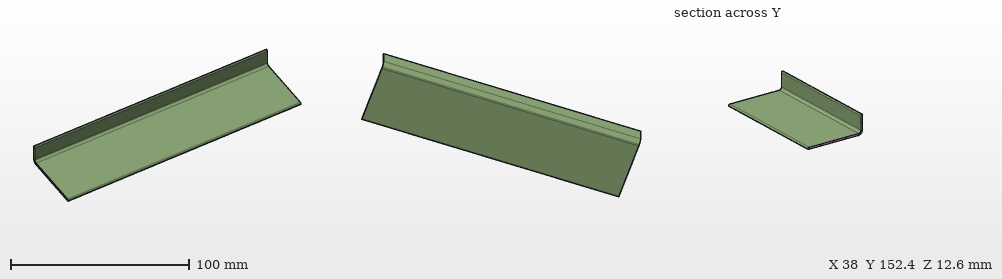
import cadquery as cq

width = 38.0
length = 152.4
height = 12.6

thickness = 1.5
inner_bend_radius = 1.5
outer_bend_radius = inner_bend_radius + thickness
edge_radius = thickness / 2


def angle_profile():
    """L section: base along X, flange up at X = 0, concentric bend between them."""
    return (
        cq.Workplane("XZ")
        .moveTo(outer_bend_radius, 0)
        .lineTo(width - edge_radius, 0)
        .threePointArc((width, edge_radius), (width - edge_radius, thickness))
        .lineTo(outer_bend_radius, thickness)
        .radiusArc((thickness, outer_bend_radius), inner_bend_radius)
        .lineTo(thickness, height - edge_radius)
        .threePointArc((edge_radius, height), (0, height - edge_radius))
        .lineTo(0, outer_bend_radius)
        .radiusArc((outer_bend_radius, 0), -outer_bend_radius)
        .close()
    )


result = angle_profile().extrude(length / 2, both=True)